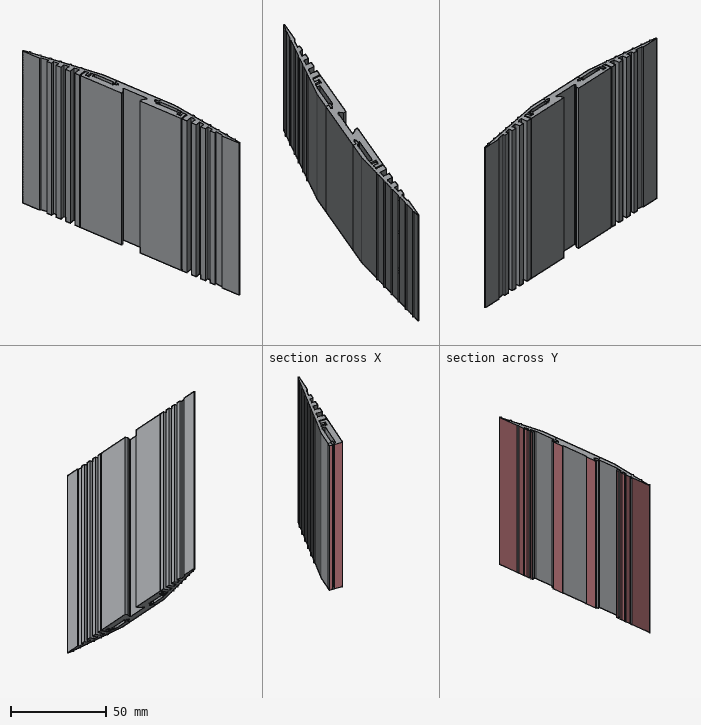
import cadquery as cq
import math

LENGTH = 100.0
HALF_WIDTH = 70.0
HEIGHT = 7.5

CREST_X = 23.1
TIP_HEIGHT = 0.63
SKIN = 1.7
SLOPE = (HEIGHT - TIP_HEIGHT) / (HALF_WIDTH - CREST_X)
TIP_BOTTOM_X = HALF_WIDTH - TIP_HEIGHT * SLOPE

FOOT_PITCH = 6.0
FOOT_WIDTH = 3.1
FOOT_COUNT = 3
WALL_INNER_X = 33.0
WALL_OUTER_X = 36.1
TOE_X = 58.8
TOE_LEAN = 0.3

RIDGE_RADIUS = 0.5
RIDGE_COUNT = 6
FIRST_RIDGE_X = 36.3
RIDGE_PITCH_X = FOOT_PITCH * math.cos(math.atan(SLOPE))

TONGUE_OUTER_X = 30.7
TONGUE_INNER_X = 29.4
TONGUE_BOTTOM = 2.4
ARM_BOTTOM = 5.5
SEAM_X = 14.1
HOOK_TOP = 5.7
HOOK_BOTTOM = 4.5
HOOK_LIP_X = 15.0
HOOK_TIP_CLEARANCE = 0.4
RECESS_TOP_X = 12.0
RECESS_POINT_X = 11.5
RECESS_POINT_Y = 5.2
RECESS_BOTTOM_X = 12.5

CENTRE_HALF_WIDTH = 32.5
SLOT_INNER_X = 28.4
SLOT_FLOOR = 2.0
CAVITY_OUTER_X = 27.2
CAVITY_INNER_X = 13.9
CAVITY_FLOOR = 3.5
CHANNEL_MOUTH_X = 6.0
CHANNEL_LIP = 1.5
CHANNEL_ROOF_X = 7.5
CHANNEL_SHOULDER = 3.4
CHANNEL_ROOF = 4.0


def top_height(x):
    return HEIGHT - SLOPE * (x - CREST_X)


def underside_height(x):
    return top_height(x) - SKIN


def underside_point(x):
    return (x, underside_height(x))


ARM_KINK_X = CREST_X + (HEIGHT - SKIN - ARM_BOTTOM) / SLOPE


def hook_end(clearance):
    """Section of the hook's end from bottom to top, its tip set back by the clearance."""
    return [
        (RECESS_BOTTOM_X + clearance, HOOK_BOTTOM),
        (RECESS_POINT_X + clearance, RECESS_POINT_Y),
        (RECESS_TOP_X + clearance, HOOK_TOP),
        (SEAM_X, HOOK_TOP),
    ]


def extrude_section(points):
    return cq.Workplane("XY").polyline(points).close().extrude(LENGTH)


def ramp_section():
    points = [
        (SEAM_X, HEIGHT),
        (CREST_X, HEIGHT),
        (HALF_WIDTH, TIP_HEIGHT),
        (TIP_BOTTOM_X, 0),
        (TOE_X, 0),
        underside_point(TOE_X - TOE_LEAN),
    ]
    for i in reversed(range(FOOT_COUNT)):
        foot_outer = WALL_OUTER_X + (i + 1) * FOOT_PITCH
        foot_inner = foot_outer - FOOT_WIDTH
        points += [
            underside_point(foot_outer),
            (foot_outer, 0),
            (foot_inner, 0),
            underside_point(foot_inner),
        ]
    points += [
        underside_point(WALL_OUTER_X),
        (WALL_OUTER_X, 0),
        (WALL_INNER_X, 0),
        underside_point(WALL_INNER_X),
        underside_point(TONGUE_OUTER_X),
        (TONGUE_OUTER_X, TONGUE_BOTTOM),
        (TONGUE_INNER_X, TONGUE_BOTTOM),
        underside_point(TONGUE_INNER_X),
        (ARM_KINK_X, ARM_BOTTOM),
        (HOOK_LIP_X, ARM_BOTTOM),
        (HOOK_LIP_X, HOOK_BOTTOM),
        *hook_end(HOOK_TIP_CLEARANCE),
    ]
    return points


def make_ramp(side):
    ramp = extrude_section([(side * x, y) for x, y in ramp_section()])
    for i in range(RIDGE_COUNT):
        x = FIRST_RIDGE_X + i * RIDGE_PITCH_X
        ridge = cq.Workplane("XY").center(side * x, top_height(x)).circle(RIDGE_RADIUS).extrude(LENGTH)
        ramp = ramp.union(ridge)
    return ramp


def centre_half_section():
    return [
        (CHANNEL_ROOF_X, CHANNEL_ROOF),
        (CHANNEL_ROOF_X, CHANNEL_SHOULDER),
        (CHANNEL_MOUTH_X, CHANNEL_LIP),
        (CHANNEL_MOUTH_X, 0),
        (CENTRE_HALF_WIDTH, 0),
        underside_point(CENTRE_HALF_WIDTH),
        underside_point(TONGUE_OUTER_X),
        (TONGUE_OUTER_X, SLOT_FLOOR),
        (SLOT_INNER_X, SLOT_FLOOR),
        underside_point(SLOT_INNER_X),
        underside_point(CAVITY_OUTER_X),
        (CAVITY_OUTER_X, CAVITY_FLOOR),
        (CAVITY_INNER_X, CAVITY_FLOOR),
        (CAVITY_INNER_X, HOOK_BOTTOM),
        *hook_end(0),
        (SEAM_X, HEIGHT),
    ]


def make_centre():
    half = centre_half_section()
    mirrored = [(-x, y) for x, y in reversed(half)]
    return extrude_section(half + mirrored)


centre = make_centre()
ramps = [make_ramp(side) for side in (-1, 1)]

result = cq.Compound.makeCompound([centre.val(), *[ramp.val() for ramp in ramps]])